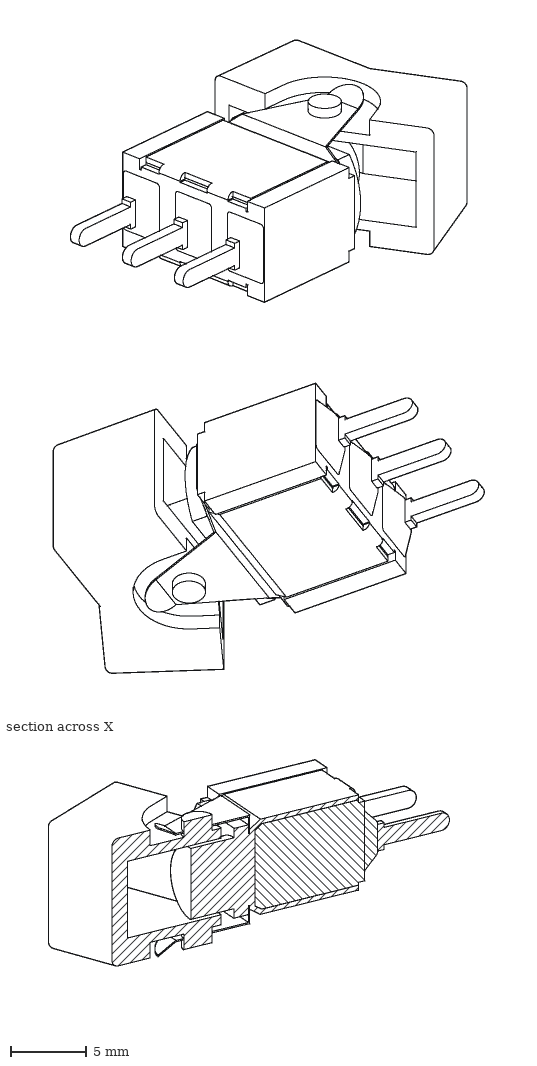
import cadquery as cq
import math


ARM_ANGLE = 12.25
ROCKER_HALF_DEPTH = 4.68
ROCKER_BASE = -1.82
ROCKER_CROWN = 6.1
ARM_END_BASE = 8.22
ARM_END_CROWN = 8.15
ROCKER_FILLET = 0.5
CAVITY_HALF_DEPTH = 2.78
CAVITY_ROOF = 4.95
CAVITY_END_BASE = 6.98
CAVITY_END_ROOF = 6.83
SCALLOP_RADIUS = 3.72
SCALLOP_FLOOR = 3.55
TRUNNION_RADIUS = 1.1

HOUSING_HALF_WIDTH = 6.38
HOUSING_HALF_DEPTH = 3.5
HOUSING_TOP = -4.05
HOUSING_BOTTOM = -13.0
CORNER_STEP_DEPTH = 2.7
CORNER_STEP_BOTTOM = -4.6

STRAP_HALF_WIDTH = 4.7
STRAP_THICKNESS = 0.4
STRAP_GAP = 0.15
STRAP_WEB_HALF_DEPTH = 2.95
STRAP_BEND_BOTTOM = -4.85
STRAP_BOTTOM = -12.5
FINGER_WIDTH = 1.9
FINGER_OFFSET = 2.15
FINGER_ROOT = 3.0
FINGER_RADIUS = HOUSING_HALF_DEPTH - FINGER_ROOT
LEDGE_HALF_DEPTH = 2.92
BUSHING_RADIUS = 2.6
BUSHING_TOP = 0.57
FLANGE_RADIUS = 5.79
FLANGE_HALF_DEPTH = 3.3
FLANGE_TOP = -2.8

SHEET = 0.15
PLATE_TOP = HOUSING_TOP + SHEET
PLATE_HALF_WIDTH = 6.25
PLATE_END_HALF_DEPTH = 1.95
BRACKET_HALF_DEPTH = 3.97
EAR_BASE_HALF_WIDTH = 3.75
EAR_TIP_HALF_WIDTH = 1.42
EAR_FOLD = 1.73
LIP_ANGLE = 29.0
LIP_STRAIGHT = 0.15

TERMINAL_PITCH = 4.68
TERMINAL_POSITIONS = [-TERMINAL_PITCH, 0, TERMINAL_PITCH]
SEAL_HALF_WIDTH = 1.62
SEAL_HALF_DEPTH = 2.18
SEAL_HEIGHT = 1.02
SEAL_TAPER = 45
SEAL_EDGE_FILLET = 0.37
SEAL_RIM_FILLET = 0.4
SEAL_TIP = HOUSING_BOTTOM - SEAL_HEIGHT
TERMINAL_HALF_THICKNESS = 0.4
SHOULDER_HALF_DEPTH = 1.0
SHOULDER_BOTTOM = -14.5
BLADE_HALF_DEPTH = 0.65
TERMINAL_END = -19.6


def block(x_range, y_range, z_range):
    """Axis-aligned block between the given limits."""
    size = [high - low for low, high in (x_range, y_range, z_range)]
    corner = cq.Vector(x_range[0], y_range[0], z_range[0])
    return cq.Workplane(cq.Solid.makeBox(*size, corner))


def prism_along_z(profile, half_depth):
    """Extrude an XY profile to both sides of the middle plane."""
    return profile.extrude(half_depth, both=True)


def cylinder_along_y(radius, y_low, y_high):
    """Cylinder around the Y axis."""
    base = cq.Vector(0, y_low, 0)
    direction = cq.Vector(0, 1, 0)
    return cq.Workplane(cq.Solid.makeCylinder(radius, y_high - y_low, base, direction))


def arm_point(reach, rise):
    """Point of the right arm from its distances along and square to the arm."""
    angle = math.radians(ARM_ANGLE)
    x = reach * math.cos(angle) - rise * math.sin(angle)
    y = reach * math.sin(angle) + rise * math.cos(angle)
    return x, y


def mirrored(point):
    return -point[0], point[1]


def two_arm_profile(end_base, end_crown, base, crown):
    """Symmetric V outline of two arms that meet on the Y axis."""
    lower = arm_point(end_base, base)
    upper = arm_point(end_crown, crown)
    arm_cosine = math.cos(math.radians(ARM_ANGLE))
    points = [(0, base / arm_cosine), lower, upper, (0, crown / arm_cosine), mirrored(upper), mirrored(lower)]
    return cq.Workplane("XY").polyline(points).close()


def rocker_shell():
    profile = two_arm_profile(ARM_END_BASE, ARM_END_CROWN, ROCKER_BASE, ROCKER_CROWN)
    shell = prism_along_z(profile, ROCKER_HALF_DEPTH)
    crown_corner = arm_point(ARM_END_CROWN, ROCKER_CROWN)
    for x, y in (crown_corner, mirrored(crown_corner)):
        shell = shell.edges(cq.selectors.NearestToPointSelector((x, y, 0))).fillet(ROCKER_FILLET)

    base_middle_height = arm_point(ARM_END_BASE / 2, ROCKER_BASE)[1]
    rims = shell.faces("<Z or >Z").edges()
    rounded_rims = rims.filter(lambda edge: edge.Center().y > base_middle_height + ROCKER_FILLET)
    return rounded_rims.fillet(ROCKER_FILLET)


def scallop_cutters():
    """Round-topped recesses of both faces; their sides run square to the two arms."""
    right = arm_point(SCALLOP_RADIUS, 0)
    right_end = arm_point(SCALLOP_RADIUS, 2 * ROCKER_BASE)
    scallop = (
        cq.Workplane("XY", origin=(0, 0, SCALLOP_FLOOR))
        .moveTo(*right)
        .threePointArc((0, SCALLOP_RADIUS), mirrored(right))
        .lineTo(*mirrored(right_end))
        .lineTo(*right_end)
        .close()
        .extrude(ROCKER_HALF_DEPTH - SCALLOP_FLOOR)
    )
    return scallop.union(scallop.mirror("XY"))


def make_rocker():
    cavity_profile = two_arm_profile(CAVITY_END_BASE, CAVITY_END_ROOF, ROCKER_BASE, CAVITY_ROOF)
    cavity = prism_along_z(cavity_profile, CAVITY_HALF_DEPTH)
    trunnions = prism_along_z(cq.Workplane("XY").circle(TRUNNION_RADIUS), ROCKER_HALF_DEPTH)
    rocker = rocker_shell().cut(scallop_cutters()).union(trunnions).cut(cavity)
    return rocker.rotate((0, 0, 0), (0, 0, 1), ARM_ANGLE)


def make_bracket():
    quarter = [(PLATE_HALF_WIDTH, PLATE_END_HALF_DEPTH), (EAR_BASE_HALF_WIDTH, BRACKET_HALF_DEPTH)]
    half = quarter + [mirrored(point) for point in reversed(quarter)]
    octagon = half + [(-x, -z) for x, z in half]
    plate = cq.Workplane("XZ", origin=(0, PLATE_TOP, 0)).polyline(octagon).close().extrude(SHEET)
    plate = plate.cut(cylinder_along_y(BUSHING_RADIUS, HOUSING_TOP, PLATE_TOP))

    angle = math.radians(LIP_ANGLE)
    lip_length = LIP_STRAIGHT + EAR_TIP_HALF_WIDTH
    lip_end = EAR_FOLD + lip_length * math.cos(angle)
    lip_rise = lip_length * math.sin(angle)
    inner = BRACKET_HALF_DEPTH - SHEET
    side_profile = [
        (HOUSING_TOP, inner),
        (EAR_FOLD, inner),
        (lip_end, inner + lip_rise),
        (lip_end, BRACKET_HALF_DEPTH + lip_rise),
        (EAR_FOLD, BRACKET_HALF_DEPTH),
        (HOUSING_TOP, BRACKET_HALF_DEPTH),
    ]
    ear = cq.Workplane("YZ").polyline(side_profile).close().extrude(EAR_BASE_HALF_WIDTH, both=True)
    ears = ear.union(ear.mirror("XY"))

    lip_start = EAR_FOLD + LIP_STRAIGHT * math.cos(angle)
    right_side = [
        (EAR_BASE_HALF_WIDTH, HOUSING_TOP),
        (EAR_TIP_HALF_WIDTH, EAR_FOLD),
        (EAR_TIP_HALF_WIDTH, lip_start),
    ]
    taper = right_side + [mirrored(point) for point in reversed(right_side)]
    outline = prism_along_z(cq.Workplane("XY").polyline(taper).close(), 2 * BRACKET_HALF_DEPTH)
    tip = cq.Workplane("XY").center(0, lip_start).ellipse(EAR_TIP_HALF_WIDTH, lip_end - lip_start)
    outline = outline.union(prism_along_z(tip, 2 * BRACKET_HALF_DEPTH))
    pivot_hole = prism_along_z(cq.Workplane("XY").circle(TRUNNION_RADIUS), 2 * BRACKET_HALF_DEPTH)
    return plate.union(ears.intersect(outline).cut(pivot_hole))


def strap_envelope(inset):
    """Solid with bevelled top corners; the inset moves all its outer faces inward."""
    top = HOUSING_TOP - inset
    half_depth = HOUSING_HALF_DEPTH - inset
    bevel_run = HOUSING_TOP - STRAP_BEND_BOTTOM
    bevel_rise = HOUSING_HALF_DEPTH - STRAP_WEB_HALF_DEPTH
    bevel_half_angle = math.atan2(bevel_rise, bevel_run) / 2
    bend_bottom = STRAP_BEND_BOTTOM - inset * math.tan(bevel_half_angle)
    web_half_depth = half_depth - (top - bend_bottom) * bevel_rise / bevel_run
    upper = [(STRAP_BOTTOM, half_depth), (bend_bottom, half_depth), (top, web_half_depth)]
    lower = [(y, -z) for y, z in reversed(upper)]
    profile = cq.Workplane("YZ").polyline(upper + lower).close()
    return profile.extrude(STRAP_HALF_WIDTH, both=True)


def make_fingers():
    """Bent ends of the strap, rounded over the bottom edge of the housing."""
    corner = FINGER_RADIUS * math.sqrt(0.5)
    quarter_round = (
        cq.Workplane("YZ")
        .moveTo(STRAP_BOTTOM, FINGER_ROOT)
        .lineTo(STRAP_BOTTOM, HOUSING_HALF_DEPTH)
        .threePointArc(
            (STRAP_BOTTOM - corner, FINGER_ROOT + corner),
            (STRAP_BOTTOM - FINGER_RADIUS, FINGER_ROOT),
        )
        .close()
        .extrude(FINGER_WIDTH / 2, both=True)
    )
    fingers = cq.Workplane("XY")
    for side in (-1, 1):
        finger = quarter_round.translate((side * FINGER_OFFSET, 0, 0))
        fingers = fingers.add(finger).add(finger.mirror("XY"))
    return fingers.combine()


def make_frame():
    frame = strap_envelope(0).cut(strap_envelope(STRAP_THICKNESS)).union(make_fingers())
    flange_flats = block(
        (-FLANGE_RADIUS, FLANGE_RADIUS), (PLATE_TOP, FLANGE_TOP), (-FLANGE_HALF_DEPTH, FLANGE_HALF_DEPTH)
    )
    flange = cylinder_along_y(FLANGE_RADIUS, PLATE_TOP, FLANGE_TOP).intersect(flange_flats)
    bushing = cylinder_along_y(BUSHING_RADIUS, HOUSING_TOP, BUSHING_TOP)
    return frame.union(bushing).union(flange)


def make_housing():
    width = (-HOUSING_HALF_WIDTH, HOUSING_HALF_WIDTH)
    body = block(width, (HOUSING_BOTTOM, HOUSING_TOP), (-HOUSING_HALF_DEPTH, HOUSING_HALF_DEPTH))
    slot_half_width = STRAP_HALF_WIDTH + STRAP_GAP
    ledge_width = (-STRAP_HALF_WIDTH, STRAP_HALF_WIDTH)
    step = block(width, (CORNER_STEP_BOTTOM, HOUSING_TOP), (CORNER_STEP_DEPTH, HOUSING_HALF_DEPTH))
    ledge = block(ledge_width, (HOUSING_BOTTOM, STRAP_BOTTOM), (LEDGE_HALF_DEPTH, HOUSING_HALF_DEPTH))
    cuts = [step, ledge]
    for low, high in ((-slot_half_width, -STRAP_HALF_WIDTH), (STRAP_HALF_WIDTH, slot_half_width)):
        slot = block((low, high), (HOUSING_BOTTOM, HOUSING_TOP), (CORNER_STEP_DEPTH, HOUSING_HALF_DEPTH))
        cuts.append(slot)
    for cutter in cuts:
        body = body.cut(cutter).cut(cutter.mirror("XY"))

    pad_length = (STRAP_BOTTOM - FINGER_RADIUS, STRAP_BOTTOM)
    for side in (-1, 1):
        left = side * FINGER_OFFSET - FINGER_WIDTH / 2
        pad = block((left, left + FINGER_WIDTH), pad_length, (-FINGER_ROOT, FINGER_ROOT))
        body = body.union(pad)

    seat = block(ledge_width, (STRAP_BOTTOM, HOUSING_TOP), (-HOUSING_HALF_DEPTH, HOUSING_HALF_DEPTH))
    core = strap_envelope(STRAP_THICKNESS)
    return body.cut(seat).union(core)


def make_seal(x):
    """Four-sided pyramid stump with rounded edges around a terminal."""
    base = cq.Workplane("XZ", origin=(x, HOUSING_BOTTOM, 0)).rect(2 * SEAL_HALF_WIDTH, 2 * SEAL_HALF_DEPTH)
    seal = base.extrude(SEAL_HEIGHT, taper=SEAL_TAPER)
    seal = seal.edges("not #Y").fillet(SEAL_EDGE_FILLET)
    return seal.faces("<Y").edges().fillet(SEAL_RIM_FILLET)


def make_terminal(x):
    thickness = (x - TERMINAL_HALF_THICKNESS, x + TERMINAL_HALF_THICKNESS)
    shoulder = block(thickness, (SHOULDER_BOTTOM, SEAL_TIP), (-SHOULDER_HALF_DEPTH, SHOULDER_HALF_DEPTH))
    tip_start = TERMINAL_END + BLADE_HALF_DEPTH
    blade = (
        cq.Workplane("YZ", origin=(x, 0, 0))
        .moveTo(SHOULDER_BOTTOM, -BLADE_HALF_DEPTH)
        .lineTo(tip_start, -BLADE_HALF_DEPTH)
        .threePointArc((TERMINAL_END, 0), (tip_start, BLADE_HALF_DEPTH))
        .lineTo(SHOULDER_BOTTOM, BLADE_HALF_DEPTH)
        .close()
        .extrude(TERMINAL_HALF_THICKNESS, both=True)
    )
    return shoulder.union(blade)


rocker = make_rocker().solids().val()
bracket = make_bracket().solids().val()
frame = make_frame().solids().val()
housing = make_housing().solids().val()
seals = [make_seal(x).solids().val() for x in TERMINAL_POSITIONS]
terminals = [make_terminal(x).solids().val() for x in TERMINAL_POSITIONS]

result = cq.Compound.makeCompound([rocker, bracket, frame, housing, *seals, *terminals])